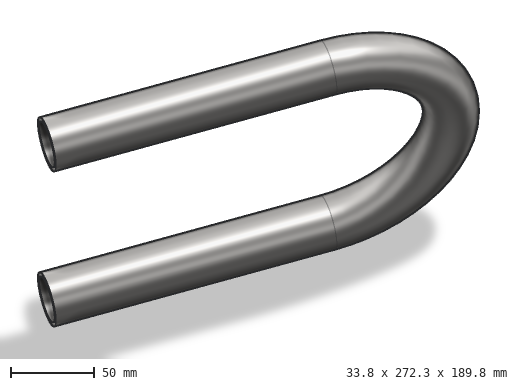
import cadquery as cq

overall_length = 272.3
overall_height = 189.8
outer_diameter = 33.8
inner_diameter = 28.5

bend_radius = (overall_height - outer_diameter) / 2
leg_length = overall_length - overall_height / 2

centreline = (
    cq.Workplane("YZ")
    .moveTo(-leg_length, -bend_radius)
    .lineTo(0, -bend_radius)
    .threePointArc((bend_radius, 0), (0, bend_radius))
    .lineTo(-leg_length, bend_radius)
)

result = (
    cq.Workplane("XZ", origin=(0, -leg_length, -bend_radius))
    .circle(outer_diameter / 2)
    .circle(inner_diameter / 2)
    .sweep(centreline)
)